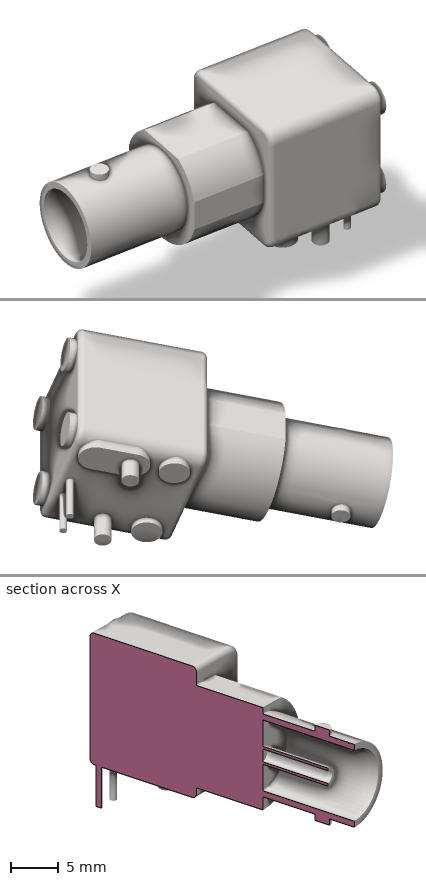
import cadquery as cq


total_length = 35.7
total_height = 20.0

housing_width = 14.78
housing_depth = 14.1
housing_height = 15.25
housing_bottom = -housing_height / 2
corner_radius = 1.5
face_edge_radius = 0.6

collar_radius = 6.35
collar_length = 8.75
collar_top_flat = 5.53
collar_side_flat = 6.1
barrel_radius = 4.82
bore_radius = 4.07
barrel_length = 12.05
bore_depth = barrel_length
barrel_tip = -(collar_length + barrel_length)

contact_radius = 1.07
socket_radius = 0.7
contact_length = 8.55

lug_diameter = 2.0
lug_reach = 5.53
lug_from_tip = 4.25

back_pad_diameter = 3.6
back_pad_offset = 5.05
back_pad_height = total_length - housing_depth - collar_length - barrel_length

foot_offset = 5.07
both_sides = [(-foot_offset, 0), (foot_offset, 0)]
foot_height = 0.65
round_foot_diameter = 3.25
round_foot_y = 3.05
long_foot_width = 3.65
long_foot_length = 7.67
long_foot_y = 9.55
peg_diameter = 1.85
peg_y = 7.8
peg_length = 2.8
pin_diameter = 0.8
pin_y = 12.9
pin_spacing = 2.5
pin_length = total_height - housing_height

foot_embed = corner_radius
axial_overlap = 0.35


def y_cylinder(radius, y_start, y_end):
    """Cylinder on the connector axis between two Y positions."""
    return cq.Workplane("XZ", origin=(0, y_start, 0)).circle(radius).extrude(y_start - y_end)


def underside(y, x=0.0):
    """Workplane just inside the housing bottom; a negative extrusion goes downward."""
    return cq.Workplane("XY", origin=(x, y, housing_bottom + foot_embed))


def make_housing():
    """Block with large rounds along Y and small rounds around the front and back faces."""
    box = cq.Workplane("XY").box(housing_width, housing_depth, housing_height)
    box = box.translate((0, housing_depth / 2, 0))
    return box.edges("|Y").fillet(corner_radius).faces("<Y or >Y").edges().fillet(face_edge_radius)


def make_collar():
    """Round collar with one flat on top and one on each side."""
    flats_height = collar_top_flat + collar_radius
    flats = cq.Workplane("XY").box(2 * collar_side_flat, 2 * collar_length, flats_height)
    flats = flats.translate((0, 0, collar_top_flat - flats_height / 2))
    return y_cylinder(collar_radius, axial_overlap, -collar_length).intersect(flats)


def make_barrel():
    """Hollow barrel with two opposite bayonet lugs and a centre contact."""
    bore_floor = barrel_tip + bore_depth
    barrel = y_cylinder(barrel_radius, axial_overlap - collar_length, barrel_tip)
    lugs = (
        cq.Workplane("XY", origin=(0, barrel_tip + lug_from_tip, 0))
        .circle(lug_diameter / 2)
        .extrude(lug_reach, both=True)
    )
    bore = y_cylinder(bore_radius, bore_floor, barrel_tip)
    contact_tip = bore_floor - contact_length
    contact = y_cylinder(contact_radius, bore_floor + axial_overlap, contact_tip)
    socket = y_cylinder(socket_radius, bore_floor, contact_tip)
    return barrel.union(lugs).cut(bore).union(contact).cut(socket)


def make_back_pads():
    """Four round pads at the corners of the back face."""
    return (
        cq.Workplane("XZ", origin=(0, housing_depth + back_pad_height, 0))
        .rect(2 * back_pad_offset, 2 * back_pad_offset, forConstruction=True)
        .vertices()
        .circle(back_pad_diameter / 2)
        .extrude(back_pad_height + foot_embed)
    )


def make_feet():
    """One round foot on each side near the front, and a long foot on the -X side."""
    depth = foot_height + foot_embed
    round_feet = underside(round_foot_y).pushPoints(both_sides).circle(round_foot_diameter / 2).extrude(-depth)
    long_foot = underside(long_foot_y, -foot_offset).slot2D(long_foot_length, long_foot_width, 90)
    return round_feet.union(long_foot.extrude(-depth))


def make_pegs():
    """One locating peg on each side."""
    return underside(peg_y).pushPoints(both_sides).circle(peg_diameter / 2).extrude(-peg_length - foot_embed)


def make_pins():
    """Signal pin on the centre plane and ground pin beside it."""
    places = [(0, 0), (pin_spacing, 0)]
    return underside(pin_y).pushPoints(places).circle(pin_diameter / 2).extrude(-pin_length - foot_embed)


result = make_housing()
for feature in (make_collar(), make_barrel(), make_back_pads(), make_feet(), make_pegs(), make_pins()):
    result = result.union(feature)